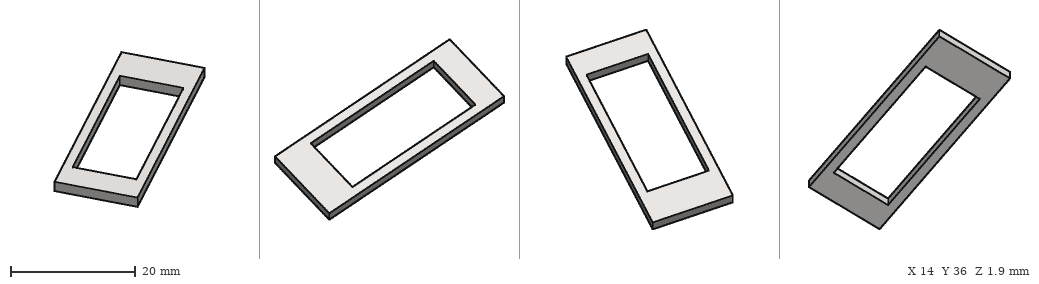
import cadquery as cq

width = 14.0
length = 36.0
thickness = 1.9

window_width = 10.73
front_margin = 4.6
back_margin = 6.1
window_length = length - front_margin - back_margin
window_center_y = (front_margin - back_margin) / 2

plate = cq.Workplane("XY").box(width, length, thickness)

window = (
    cq.Workplane("XY")
    .center(0, window_center_y)
    .box(window_width, window_length, thickness)
)

result = plate.cut(window)